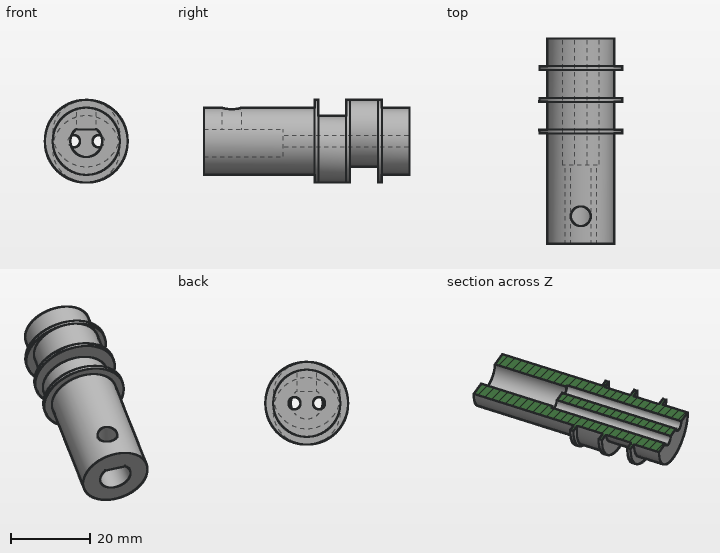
import cadquery as cq

total_length = 52.0
drive_length = 28.0
flange_thickness = 1.0
cam_length = 7.0

shaft_diameter = 17.0
flange_diameter = 21.0
cam_offset = (flange_diameter - shaft_diameter) / 2

socket_diameter = 8.0
socket_flat_height = 3.0
socket_depth = 20.0

screw_diameter = 5.0
screw_distance = 7.0

long_hole_diameter = 3.0
long_hole_offset = 3.1


def cylinder(start, length, diameter, x=0.0, z=0.0):
    """Cylinder along +Y that starts at Y = start."""
    axis_start = cq.Vector(x, start, z)
    return cq.Workplane(cq.Solid.makeCylinder(diameter / 2, length, axis_start, cq.Vector(0, 1, 0)))


def make_body():
    """Shaft ends, three flanges and two cams offset in opposite directions."""
    body = cylinder(0, drive_length, shaft_diameter)
    position = drive_length
    for offset in (-cam_offset, cam_offset):
        body = body.union(cylinder(position, flange_thickness, flange_diameter))
        position += flange_thickness
        body = body.union(cylinder(position, cam_length, shaft_diameter, z=offset))
        position += cam_length
    body = body.union(cylinder(position, flange_thickness, flange_diameter))
    position += flange_thickness
    return body.union(cylinder(position, total_length - position, shaft_diameter))


def make_socket():
    """Round socket with a flat on its +Z side."""
    radius = socket_diameter / 2
    below_flat = cq.Workplane().box(
        socket_diameter, socket_depth, radius + socket_flat_height, centered=(True, False, False)
    ).translate((0, 0, -radius))
    return cylinder(0, socket_depth, socket_diameter).intersect(below_flat)


def make_screw_hole():
    """Hole from the +Z side of the shaft into the socket."""
    return (
        cq.Workplane()
        .center(0, screw_distance)
        .circle(screw_diameter / 2)
        .extrude(shaft_diameter / 2)
    )


result = make_body().cut(make_socket()).cut(make_screw_hole())
for x in (-long_hole_offset, long_hole_offset):
    result = result.cut(cylinder(socket_depth, total_length - socket_depth, long_hole_diameter, x=x))